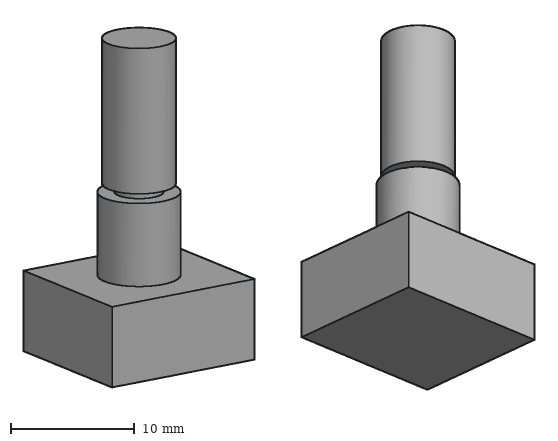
import cadquery as cq

body_width = 12.6
body_depth = 14.0
body_height = 6.8
bushing_diameter = 6.75
bushing_length = 7.0

overall_height = 26.75
neck_diameter = 4.0
neck_length = 0.7
shaft_diameter = 6.0

bushing_top = body_height + bushing_length
shaft_bottom = bushing_top + neck_length
shaft_length = overall_height - shaft_bottom


def upright_cylinder(diameter, length, bottom):
    """Cylinder on the Z axis, rising from the height `bottom`."""
    return cq.Workplane("XY").workplane(offset=bottom).circle(diameter / 2).extrude(length)


def make_housing():
    """Box with its underside at Z = 0, joined to the bushing."""
    body = cq.Workplane("XY").box(body_width, body_depth, body_height, centered=(True, True, False))
    return body.union(upright_cylinder(bushing_diameter, bushing_length, body_height))


def make_shaft():
    """Shaft joined to the neck that rests on the bushing's end face."""
    neck = upright_cylinder(neck_diameter, neck_length, bushing_top)
    return neck.union(upright_cylinder(shaft_diameter, shaft_length, shaft_bottom))


housing = make_housing()
shaft = make_shaft()

result = cq.Compound.makeCompound([housing.solids().val(), shaft.solids().val()])